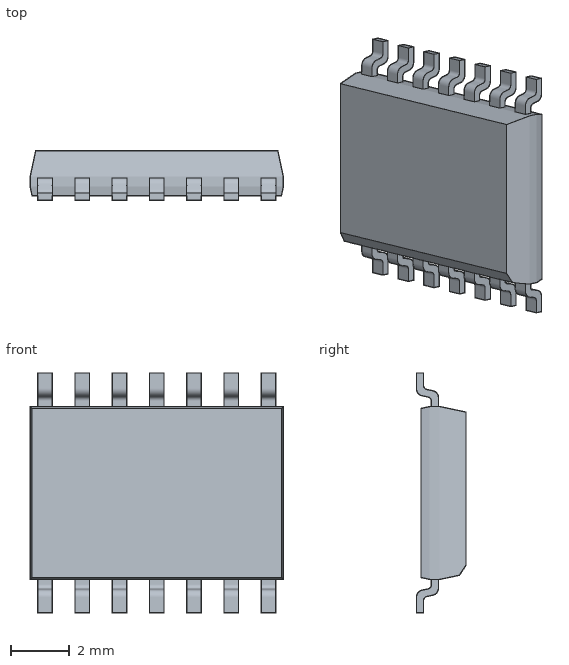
import cadquery as cq
import math

body_length = 8.64
overall_depth = 1.7
lead_span = 8.18

body_height = 5.9
front_face_y = 0.155
band_front_y = 0.47
band_back_y = 0.8
band_middle_y = (band_front_y + band_back_y) / 2
draft_angle = 12.0

bevel_height = 0.49
bevel_end_height = 0.14
bevel_depth = 0.23

leads_per_side = 7
lead_pitch = 1.27
lead_width = 0.51
lead_thickness = 0.25
lead_slope = 12.0
foot_length = 0.54
inner_bend_radius = 0.14
outer_bend_radius = 0.25
lead_embed = 0.43


def drafted_half(start_y, depth, direction):
    """Half of the body, tapering from the band along +Y (1) or -Y (-1)."""
    plane = cq.Plane(origin=(0, start_y, 0), xDir=(1, 0, 0), normal=(0, direction, 0))
    return cq.Workplane(plane).rect(body_length, body_height).extrude(depth, taper=draft_angle)


def make_body():
    band_depth = band_back_y - band_front_y
    band = cq.Workplane("XY").box(body_length, band_depth, body_height).translate((0, band_middle_y, 0))
    back = drafted_half(band_back_y, overall_depth - band_back_y, 1)
    front = drafted_half(band_front_y, band_front_y - front_face_y, -1)
    return band.union(back).union(front)


def make_bevel_cutter():
    """Wedge outside the bevel plane, extended past the body by one bevel size at each end."""
    bottom_z = -body_height / 2
    rise = bevel_height - bevel_end_height
    low_point = (overall_depth - 2 * bevel_depth, bottom_z + bevel_end_height - rise)
    high_point = (overall_depth + bevel_depth, bottom_z + bevel_height + rise)
    corner = (high_point[0], low_point[1])
    return (
        cq.Workplane("YZ")
        .polyline([low_point, high_point, corner])
        .close()
        .extrude(body_length / 2, both=True)
    )


def make_lead():
    """One upper lead centred on X = 0: a leg, a sloped middle and a flat foot."""
    tip_z = lead_span / 2
    root_z = body_height / 2 - lead_embed
    leg_front_y = band_middle_y - lead_thickness / 2
    leg_back_y = band_middle_y + lead_thickness / 2
    slope = math.tan(math.radians(lead_slope))
    slope_height = lead_thickness / math.cos(math.radians(lead_slope))
    upper_z = tip_z - foot_length
    lower_z = upper_z - slope_height

    def sloped(y, z):
        """Point at y on a sloped face that passes height z at the back of the foot."""
        return (y, z - slope * (y - lead_thickness))

    foot_inner = (lead_thickness, upper_z)
    leg_outer = sloped(leg_back_y, upper_z)
    leg_inner = sloped(leg_front_y, lower_z)
    foot_outer = sloped(0, lower_z)
    outline = [
        (0, tip_z),
        (lead_thickness, tip_z),
        foot_inner,
        leg_outer,
        (leg_back_y, root_z),
        (leg_front_y, root_z),
        leg_inner,
        foot_outer,
    ]
    lead = cq.Workplane("YZ").polyline(outline).close().extrude(lead_width / 2, both=True)

    bends = [
        (foot_inner, inner_bend_radius),
        (leg_inner, inner_bend_radius),
        (leg_outer, outer_bend_radius),
        (foot_outer, outer_bend_radius),
    ]
    for (y, z), radius in bends:
        bend_edge = cq.selectors.NearestToPointSelector((0, y, z))
        lead = lead.edges("|X").edges(bend_edge).fillet(radius)
    return lead


result = make_body().cut(make_bevel_cutter())

upper_lead = make_lead()
lower_lead = upper_lead.mirror("XY")
for index in range(leads_per_side):
    lead_x = (index - (leads_per_side - 1) / 2) * lead_pitch
    result = result.union(upper_lead.translate((lead_x, 0, 0)))
    result = result.union(lower_lead.translate((lead_x, 0, 0)))